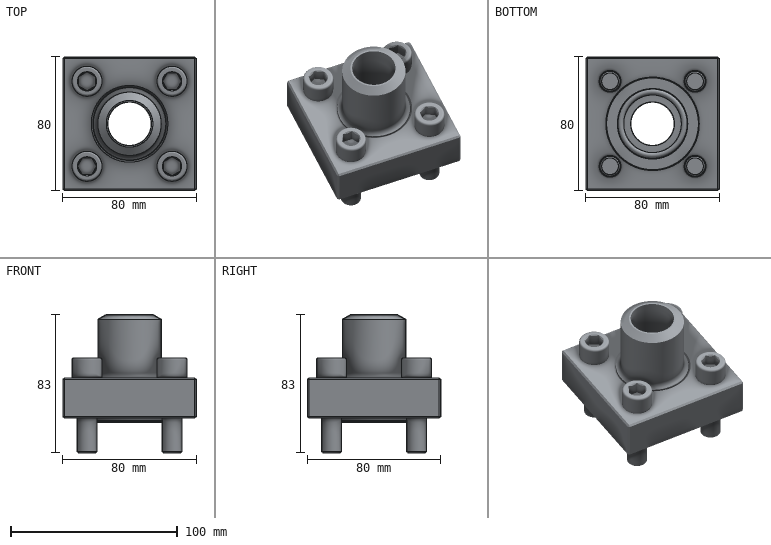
import cadquery as cq
import math


FLANGE_SIDE = 80.0
FLANGE_HEIGHT = 24.0
EDGE_CHAMFER = 1.0
FLANGE_BORE_DIAMETER = 44.0
RECESS_DIAMETER = 56.0
RECESS_DEPTH = 10.0
SCREW_HOLE_DIAMETER = 13.0

NIPPLE_TOP = 62.0
BORE_DIAMETER = 26.0
TIP_DIAMETER = 28.0
PIPE_DIAMETER = 38.0
NECK_DIAMETER = 43.5
COLLAR_DIAMETER = RECESS_DIAMETER
COLLAR_CHAMFER = 0.5
COLLAR_PROTRUSION = 2.0
WELD_BEVEL_ANGLE = 30

GROOVE_INNER_DIAMETER = 34.5
GROOVE_OUTER_DIAMETER = 42.25
RING_OUTER_DIAMETER = 41.6
RING_SECTION = (RING_OUTER_DIAMETER - GROOVE_INNER_DIAMETER) / 2
RING_PROTRUSION = 0.8

PITCH_CIRCLE_DIAMETER = 72.05
SCREW_COUNT = 4
SHANK_DIAMETER = 12.0
SHANK_LENGTH = 45.0
SHANK_CHAMFER = 1.0
HEAD_DIAMETER = 18.0
HEAD_HEIGHT = SHANK_DIAMETER
HEAD_TOP_FILLET = 1.25
HEAD_BOTTOM_FILLET = 1.0
HEX_ACROSS_FLATS = 10.0
HEX_ACROSS_CORNERS = HEX_ACROSS_FLATS / math.cos(math.radians(30))
HEX_DEPTH = 7.5


def screw_places():
    """Centre of each screw and its turn about its own axis, in degrees."""
    step = 360 / SCREW_COUNT
    radius = PITCH_CIRCLE_DIAMETER / 2
    places = []
    for index in range(SCREW_COUNT):
        angle = step * (index + 0.5)
        x = radius * math.cos(math.radians(angle))
        y = radius * math.sin(math.radians(angle))
        places.append((x, y, step * index))
    return places


def make_flange():
    block = (
        cq.Workplane("XY")
        .rect(FLANGE_SIDE, FLANGE_SIDE)
        .extrude(FLANGE_HEIGHT)
        .edges()
        .chamfer(EDGE_CHAMFER)
    )
    bore = cq.Workplane("XY").circle(FLANGE_BORE_DIAMETER / 2).extrude(FLANGE_HEIGHT)
    recess = cq.Workplane("XY").circle(RECESS_DIAMETER / 2).extrude(RECESS_DEPTH)
    bore_mouth = cq.Workplane("XY").add(
        cq.Solid.makeCone(
            FLANGE_BORE_DIAMETER / 2,
            FLANGE_BORE_DIAMETER / 2 + EDGE_CHAMFER,
            EDGE_CHAMFER,
            pnt=cq.Vector(0, 0, FLANGE_HEIGHT - EDGE_CHAMFER),
        )
    )
    screw_holes = (
        cq.Workplane("XY")
        .pushPoints([(x, y) for x, y, _ in screw_places()])
        .circle(SCREW_HOLE_DIAMETER / 2)
        .extrude(FLANGE_HEIGHT)
    )
    return block.cut(bore).cut(recess).cut(bore_mouth).cut(screw_holes)


def make_nipple():
    bore_radius = BORE_DIAMETER / 2
    tip_radius = TIP_DIAMETER / 2
    pipe_radius = PIPE_DIAMETER / 2
    neck_radius = NECK_DIAMETER / 2
    collar_radius = COLLAR_DIAMETER / 2
    bevel_height = (pipe_radius - tip_radius) * math.tan(math.radians(WELD_BEVEL_ANGLE))
    neck_fillet = neck_radius - pipe_radius
    fillet_top = FLANGE_HEIGHT + neck_fillet
    fillet_offset = neck_fillet * math.sin(math.radians(45))
    fillet_middle = (neck_radius - fillet_offset, fillet_top - fillet_offset)
    body = (
        cq.Workplane("XZ")
        .moveTo(bore_radius, -COLLAR_PROTRUSION)
        .lineTo(collar_radius - COLLAR_CHAMFER, -COLLAR_PROTRUSION)
        .lineTo(collar_radius, COLLAR_CHAMFER - COLLAR_PROTRUSION)
        .lineTo(collar_radius, RECESS_DEPTH)
        .lineTo(neck_radius, RECESS_DEPTH)
        .lineTo(neck_radius, FLANGE_HEIGHT)
        .threePointArc(fillet_middle, (pipe_radius, fillet_top))
        .lineTo(pipe_radius, NIPPLE_TOP - bevel_height)
        .lineTo(tip_radius, NIPPLE_TOP)
        .lineTo(bore_radius, NIPPLE_TOP)
        .close()
        .revolve(360, (0, 0), (0, 1))
    )
    groove = (
        cq.Workplane("XY", origin=(0, 0, -COLLAR_PROTRUSION))
        .circle(GROOVE_OUTER_DIAMETER / 2)
        .circle(GROOVE_INNER_DIAMETER / 2)
        .extrude(RING_SECTION - RING_PROTRUSION)
    )
    return body.cut(groove)


def make_sealing_ring():
    centre_radius = (RING_OUTER_DIAMETER - RING_SECTION) / 2
    centre_height = RING_SECTION / 2 - RING_PROTRUSION - COLLAR_PROTRUSION
    return (
        cq.Workplane("XZ")
        .center(centre_radius, centre_height)
        .circle(RING_SECTION / 2)
        .revolve(360, (-centre_radius, 0), (-centre_radius, 1))
    )


def make_screw(x, y, turn):
    """A screw seated on the top of the flange, its hex socket turned about its axis."""
    head = (
        cq.Workplane("XY")
        .circle(HEAD_DIAMETER / 2)
        .extrude(HEAD_HEIGHT)
        .faces(">Z")
        .edges()
        .fillet(HEAD_TOP_FILLET)
        .faces("<Z")
        .edges()
        .fillet(HEAD_BOTTOM_FILLET)
    )
    shank = (
        cq.Workplane("XY")
        .circle(SHANK_DIAMETER / 2)
        .extrude(-SHANK_LENGTH)
        .faces("<Z")
        .chamfer(SHANK_CHAMFER)
    )
    socket = (
        cq.Workplane("XY", origin=(0, 0, HEAD_HEIGHT))
        .polygon(6, HEX_ACROSS_CORNERS)
        .extrude(-HEX_DEPTH)
    )
    countersink = cq.Workplane("XY").add(
        cq.Solid.makeCone(
            0,
            HEX_ACROSS_CORNERS / 2,
            HEX_ACROSS_CORNERS / 2,
            pnt=cq.Vector(0, 0, HEAD_HEIGHT - HEX_ACROSS_CORNERS / 2),
        )
    )
    screw = head.union(shank).cut(socket).cut(countersink)
    return screw.rotate((0, 0, 0), (0, 0, 1), turn).translate((x, y, FLANGE_HEIGHT))


flange = make_flange()
nipple = make_nipple()
sealing_ring = make_sealing_ring()
screws = [make_screw(x, y, turn) for x, y, turn in screw_places()]

result = cq.Compound.makeCompound(
    [flange.val(), nipple.val(), sealing_ring.val()] + [screw.val() for screw in screws]
)